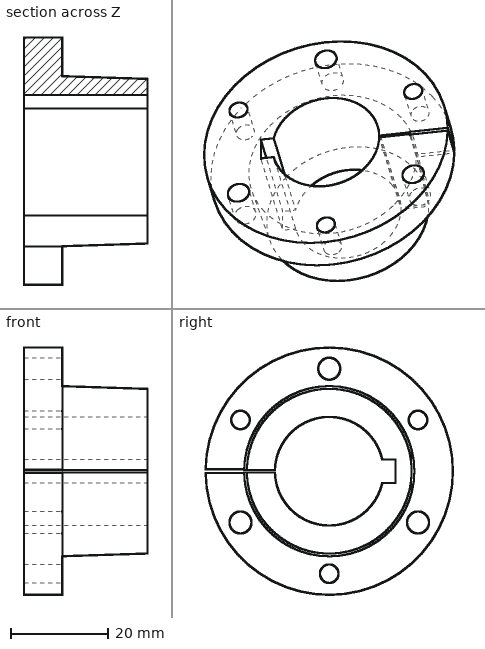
import cadquery as cq
import math

flange_diameter = 50.8
total_length = 25.4
flange_thickness = 7.9
hub_root_diameter = 34.95
hub_end_diameter = 33.85
bore_diameter = 22.25

keyway_width = 4.8
keyway_reach = 13.55

hub_slit_width = 0.45
rim_slit_width = 0.7

bolt_circle_diameter = 42.05
clearance_hole_diameter = 4.45
jack_hole_diameter = 3.75


def make_body():
    """Flange and tapered hub, revolved about the X axis."""
    profile = (
        cq.Workplane("XY")
        .lineTo(0, flange_diameter / 2)
        .lineTo(flange_thickness, flange_diameter / 2)
        .lineTo(flange_thickness, hub_root_diameter / 2)
        .lineTo(total_length, hub_end_diameter / 2)
        .lineTo(total_length, 0)
        .close()
    )
    return profile.revolve(360, (0, 0, 0), (1, 0, 0))


def make_bore():
    return cq.Workplane("YZ").circle(bore_diameter / 2).extrude(total_length)


def make_keyway():
    return cq.Workplane("XY").box(
        total_length, keyway_reach, keyway_width, centered=(False, False, True)
    )


def make_slit(width, length, inner_reach):
    """Radial cut from inner_reach to beyond the rim, on the -Y side."""
    slit = cq.Workplane("XY").box(
        length, flange_diameter / 2, width, centered=(False, False, True)
    )
    return slit.translate((0, -inner_reach - flange_diameter / 2, 0))


def make_flange_holes(diameter, first_angle):
    """Three equally spaced holes; the angle is measured from +Y toward +Z."""
    radius = bolt_circle_diameter / 2
    angles = [math.radians(first_angle + step * 120) for step in range(3)]
    centers = [(radius * math.cos(a), radius * math.sin(a)) for a in angles]
    return (
        cq.Workplane("YZ")
        .pushPoints(centers)
        .circle(diameter / 2)
        .extrude(flange_thickness)
    )


result = (
    make_body()
    .cut(make_bore())
    .cut(make_keyway())
    .cut(make_slit(hub_slit_width, total_length, 0))
    .cut(make_slit(rim_slit_width, flange_thickness, hub_root_diameter / 2))
    .cut(make_flange_holes(clearance_hole_diameter, 90))
    .cut(make_flange_holes(jack_hole_diameter, 30))
)